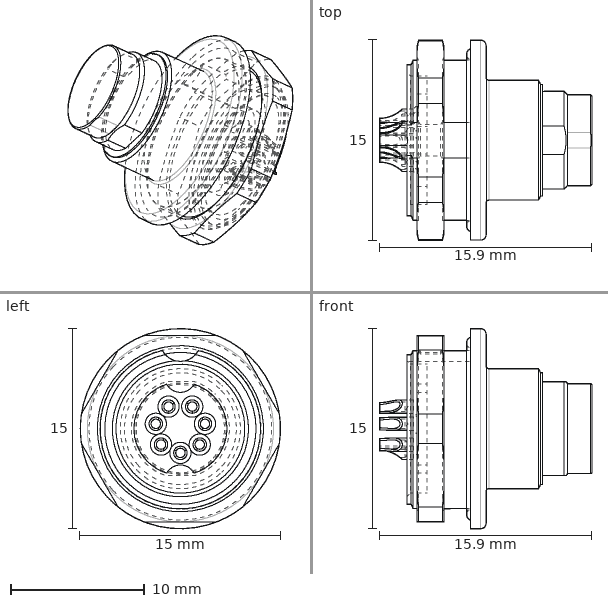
import cadquery as cq
import math


length = 15.9
body_start = 2.04
end_rim_radius = 5.66
end_rim_stop = 2.35
thread_radius = 12.0 / 2
thread_start = 2.5
flange_start = 6.79
flange_stop = 7.98
flange_radius = 15.0 / 2
flange_fillet = 0.43
barrel_radius = 9.0 / 2
barrel_root_fillet = 0.19
barrel_taper_start = 11.9
barrel_taper_length = 0.16
barrel_tip_radius = 8.38 / 2
barrel_stop = 12.2

collar_radius = 3.67
collar_stop = 14.05
collar_chamfer = 0.25
collar_flat_height = 3.51
nose_radius = 3.42
nose_chamfer = 0.11
nose_flat_height = 3.37

bore_radius = 9.65 / 2
bore_chamfer = 0.27
cavity_floor = 3.55
insert_face = 2.81
insert_radius = 3.48
insert_notch_radius = 1.16
insert_notch_centre = 3.88

keyway_radius = 1.51
keyway_centre = 6.55

seal_outer_radius = 6.87
seal_section_radius = (seal_outer_radius - thread_radius) / 2
seal_front = 6.5

nut_start = 2.78
nut_stop = 4.83
nut_across_flats = 13.95
nut_corner_radius = flange_radius
nut_corner_chamfer = 0.13
nut_bore_radius = 5.71
nut_countersink_radius = 6.22
nut_countersink_angle = 120

pin_radius = 1.0 / 2
pin_circle_radius = 1.88
bottom_pin_offset = 1.81
pin_pitch_angle = 50.6
upper_pin_opening_angle = 30
cone_radius = 0.8
cup_radius = 0.7 / 2
cup_depth = 1.91
cup_drill_length = 0.2
cut_tip_depth = 0.19
cut_length = 1.7


def revolve_about_x(profile):
    """Turn a closed (x, radius) outline about the X axis."""
    return profile.close().revolve(360, (0, 0, 0), (1, 0, 0))


def cylinder_x(radius, start, stop, y=0.0, z=0.0):
    """Cylinder along X between two stations."""
    return cq.Workplane("YZ", origin=(start, y, z)).circle(radius).extrude(stop - start)


def make_body():
    return revolve_about_x(
        cq.Workplane("XY")
        .moveTo(body_start, 0)
        .lineTo(body_start, end_rim_radius)
        .lineTo(end_rim_stop, end_rim_radius)
        .lineTo(thread_start, thread_radius)
        .lineTo(flange_start, thread_radius)
        .lineTo(flange_start, flange_radius)
        .lineTo(flange_stop - flange_fillet, flange_radius)
        .radiusArc((flange_stop, flange_radius - flange_fillet), flange_fillet)
        .lineTo(flange_stop, barrel_radius + barrel_root_fillet)
        .radiusArc((flange_stop + barrel_root_fillet, barrel_radius), -barrel_root_fillet)
        .lineTo(barrel_taper_start, barrel_radius)
        .lineTo(barrel_taper_start + barrel_taper_length, barrel_tip_radius)
        .lineTo(barrel_stop, barrel_tip_radius)
        .lineTo(barrel_stop, 0)
    )


def make_flatted_step(radius, start, stop, chamfer, flat_height):
    """Chamfered cylinder with one flat on top and one underneath."""
    step = cylinder_x(radius, start, stop).faces(">X").chamfer(chamfer)
    slab = cq.Workplane("XY").box(stop - start, 2 * radius, 2 * flat_height, centered=(False, True, True))
    return step.intersect(slab.translate((start, 0, 0)))


def make_cavity():
    return revolve_about_x(
        cq.Workplane("XY")
        .moveTo(body_start, 0)
        .lineTo(body_start, bore_radius + bore_chamfer)
        .lineTo(body_start + bore_chamfer, bore_radius)
        .lineTo(cavity_floor, bore_radius)
        .lineTo(cavity_floor, 0)
    )


def make_insert():
    insert = cylinder_x(insert_radius, insert_face, cavity_floor)
    for side in (1, -1):
        insert = insert.cut(
            cylinder_x(insert_notch_radius, insert_face, cavity_floor, z=side * insert_notch_centre)
        )
    return insert


def make_seal():
    seal_centre_radius = thread_radius + seal_section_radius
    return (
        cq.Workplane("XY")
        .center(seal_front + seal_section_radius, seal_centre_radius)
        .circle(seal_section_radius)
        .revolve(360, (-0.16, -seal_centre_radius, 0), (0, -seal_centre_radius, 0))
    )


def make_nut():
    corner_diameter = nut_across_flats / math.cos(math.pi / 6)
    hexagon = (
        cq.Workplane("YZ", origin=(nut_start, 0, 0))
        .polygon(6, corner_diameter)
        .extrude(nut_stop - nut_start)
    )
    countersink_slope = math.tan(math.radians(nut_countersink_angle / 2))
    countersink = (nut_countersink_radius - nut_bore_radius) / countersink_slope
    envelope = revolve_about_x(
        cq.Workplane("XY")
        .moveTo(nut_start, nut_countersink_radius)
        .lineTo(nut_start, nut_across_flats / 2)
        .lineTo(nut_start + nut_corner_chamfer, nut_corner_radius)
        .lineTo(nut_stop - nut_corner_chamfer, nut_corner_radius)
        .lineTo(nut_stop, nut_across_flats / 2)
        .lineTo(nut_stop, nut_countersink_radius)
        .lineTo(nut_stop - countersink, nut_bore_radius)
        .lineTo(nut_start + countersink, nut_bore_radius)
    )
    return hexagon.intersect(envelope)


def make_pin():
    """Solder pin on the X axis with its cup opening toward +Y."""
    cone_height = cone_radius - pin_radius
    pin = revolve_about_x(
        cq.Workplane("XY")
        .lineTo(0, pin_radius)
        .lineTo(insert_face - cone_height, pin_radius)
        .lineTo(insert_face, cone_radius)
        .lineTo(insert_face, 0)
    )
    cup = revolve_about_x(
        cq.Workplane("XY")
        .lineTo(0, cup_radius)
        .lineTo(cup_depth, cup_radius)
        .lineTo(cup_depth + cup_drill_length, 0)
    )
    cut_rise = cut_tip_depth + pin_radius
    scoop_radius = (cut_length**2 + cut_rise**2) / (2 * cut_rise)
    scoop = (
        cq.Workplane("XY")
        .center(0, scoop_radius - cut_tip_depth)
        .circle(scoop_radius)
        .extrude(pin_radius, both=True)
    )
    return pin.cut(cup).cut(scoop)


def make_pins():
    """(position angle, circle radius, opening angle) per pin; angles run from +Y toward +Z."""
    first = -90 + pin_pitch_angle
    second = first + pin_pitch_angle
    third = second + pin_pitch_angle
    places = [
        (-90, bottom_pin_offset, -90),
        (first, pin_circle_radius, 0),
        (second, pin_circle_radius, 0),
        (third, pin_circle_radius, upper_pin_opening_angle),
    ]
    places += [(180 - angle, radius, 180 - opening) for angle, radius, opening in places[1:]]
    pins = []
    for angle, radius, opening in places:
        y = radius * math.cos(math.radians(angle))
        z = radius * math.sin(math.radians(angle))
        pins.append(make_pin().rotate((0, 0, 0), (1, 0, 0), opening).translate((0, y, z)))
    return pins


result = make_body()
result = result.cut(make_cavity())
result = result.cut(cylinder_x(keyway_radius, body_start, flange_start, z=keyway_centre))
collar = make_flatted_step(collar_radius, barrel_stop, collar_stop, collar_chamfer, collar_flat_height)
nose = make_flatted_step(nose_radius, collar_stop, length, nose_chamfer, nose_flat_height)
result = result.union(collar).union(nose)
result = result.union(make_insert())
result = result.union(make_seal())
result = result.union(make_nut())
for pin in make_pins():
    result = result.union(pin)